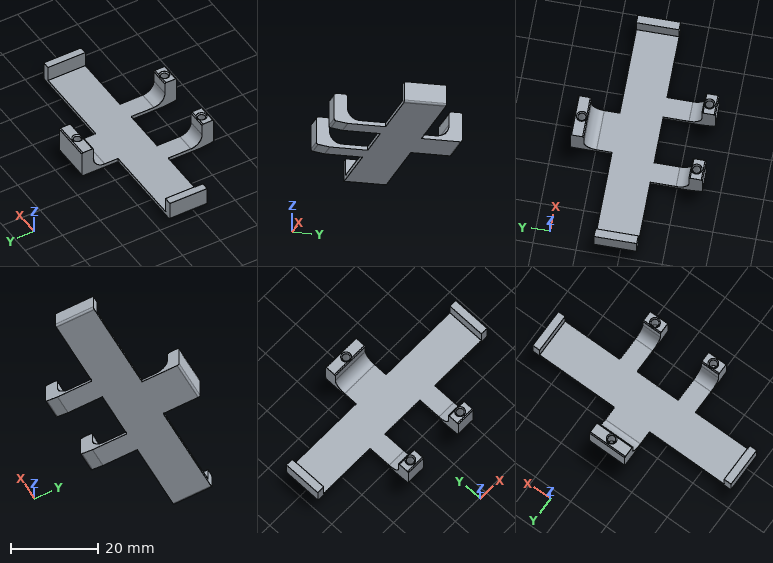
import cadquery as cq

length = 56.1
bar_width = 10.0
plate = 1.0
end_wall = 1.95
end_height = 5.0

total_width = 31.75
hook_height = 7.1
back_reach = 9.65
front_reach = total_width - bar_width - back_reach
back_hook_width = bar_width
front_hook_width = bar_width / 2
front_hook_offset = 8.25
post = 3.15
inner_radius = 3.0
top_bevel = 0.3
bottom_radius = 0.5
taper_length = 3.2
taper_rise = 0.45

hole_diameter = 1.85
hole_depth = 5.0
sink_diameter = 2.45
sink_depth = (sink_diameter - hole_diameter) / 2
hole_inset = 1.8

back_end = bar_width / 2 + back_reach
front_end = bar_width / 2 + front_reach


def make_bar():
    """Shallow channel: plate and end walls, rounded along the lower end edges."""
    half = length / 2
    inner = half - end_wall
    profile = [
        (-half, 0),
        (half, 0),
        (half, end_height),
        (inner, end_height),
        (inner, plate),
        (-inner, plate),
        (-inner, end_height),
        (-half, end_height),
    ]
    bar = cq.Workplane("XZ").polyline(profile).close().extrude(bar_width / 2, both=True)
    return bar.faces("<Z").edges("|Y").fillet(bottom_radius)


def make_hook(end, width, rise):
    """Hook running along +Y from the bar's centre line, its underside rising by rise at the tip."""
    post_face = end - post
    profile = (
        cq.Workplane("YZ")
        .moveTo(0, 0)
        .lineTo(end - taper_length, 0)
        .lineTo(end, rise)
        .lineTo(end, hook_height)
        .lineTo(post_face, hook_height)
        .lineTo(post_face, plate + inner_radius)
        .radiusArc((post_face - inner_radius, plate), inner_radius)
        .lineTo(0, plate)
        .close()
    )
    hook = profile.extrude(width / 2, both=True)
    hook = hook.faces(">Z").edges("|X").chamfer(top_bevel)
    return hook.faces(">Y").edges("<Z").fillet(bottom_radius)


def make_hole(x, y):
    """Cutter for one countersunk blind hole."""
    drill = cq.Workplane("XY", origin=(x, y, hook_height - hole_depth))
    drill = drill.circle(hole_diameter / 2).extrude(hole_depth)
    sink = cq.Solid.makeCone(
        hole_diameter / 2,
        sink_diameter / 2,
        sink_depth,
        pnt=cq.Vector(x, y, hook_height - sink_depth),
    )
    return drill.union(cq.Workplane(obj=sink))


result = make_bar()

result = result.union(make_hook(back_end, back_hook_width, 0))
result = result.cut(make_hole(0, back_end - hole_inset))

front_hook = make_hook(front_end, front_hook_width, taper_rise).mirror("XZ")
for x in (-front_hook_offset, front_hook_offset):
    result = result.union(front_hook.translate((x, 0, 0)))
    result = result.cut(make_hole(x, hole_inset - front_end))

result = result.translate((0, (front_end - back_end) / 2, 0))